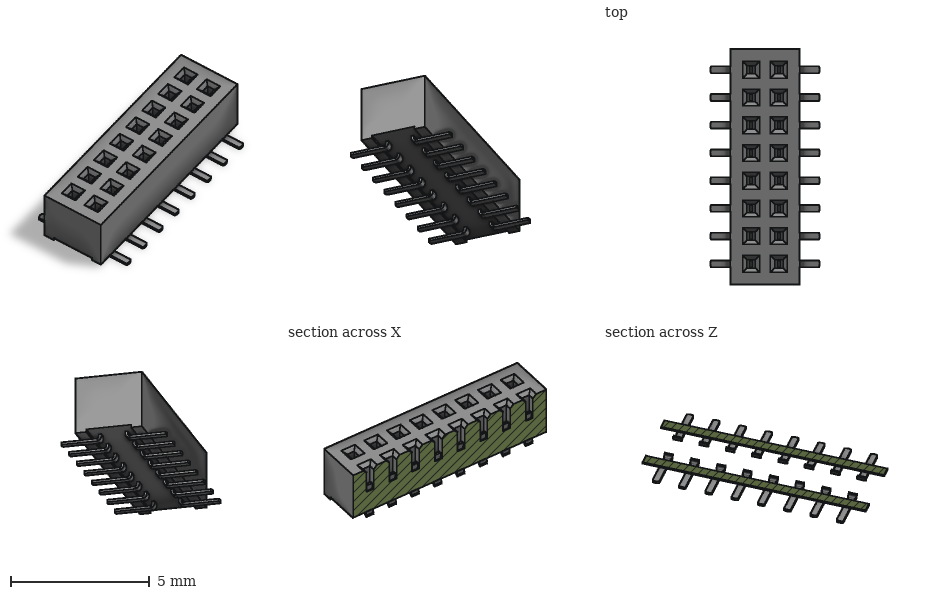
import cadquery as cq
import math

body_length = 8.5
contacts_per_row = 8
pitch = body_length / (contacts_per_row + 0.5)
row_offset = pitch / 2
contact_ys = [(i - (contacts_per_row - 1) / 2) * pitch for i in range(contacts_per_row)]

overall_height = 2.25
body_width = 2.5
body_height = 2.11
body_bottom = overall_height - body_height
channel_width = 1.68
channel_height = 0.1

funnel_mouth = 0.6
shaft_size = 0.31
funnel_depth = (funnel_mouth - shaft_size) / 2
socket_depth = 1.05
socket_floor = overall_height - socket_depth

overall_width = 3.95
strip_thickness = 0.09
tail_width = 0.255
leg_width = 0.31
bend_inner_radius = 0.06
bend_outer_radius = bend_inner_radius + strip_thickness
blade_width = 0.24
blade_rise = 0.255
leg_inner = row_offset - strip_thickness / 2
leg_outer = row_offset + strip_thickness / 2
bend_end = leg_outer + bend_inner_radius
tail_tip = overall_width / 2
tip_bulge = 0.03


def make_housing():
    """Plain block with a shallow channel along its underside."""
    underside = cq.Workplane("XY", origin=(0, 0, body_bottom))
    block = underside.rect(body_width, body_length).extrude(body_height)
    channel = underside.rect(channel_width, body_length).extrude(channel_height)
    return block.cut(channel)


def make_socket(x, y):
    """Material removed for one socket."""
    funnel = (
        cq.Workplane("XY", origin=(x, y, overall_height))
        .rect(funnel_mouth, funnel_mouth)
        .workplane(offset=-funnel_depth).rect(shaft_size, shaft_size)
        .loft(ruled=True)
    )
    shaft = (
        cq.Workplane("XY", origin=(x, y, socket_floor))
        .rect(shaft_size, shaft_size).extrude(socket_depth - funnel_depth)
    )
    return funnel.union(shaft)


def make_leg(y):
    """Vertical leg of one +X contact, with the bend at its foot ending at bend_end."""
    diagonal = math.sqrt(0.5)
    outer_mid = (bend_end - bend_outer_radius * diagonal, bend_outer_radius * (1 - diagonal))
    inner_mid = (bend_end - bend_inner_radius * diagonal, bend_outer_radius - bend_inner_radius * diagonal)
    return (
        cq.Workplane("XZ", origin=(0, y, 0))
        .moveTo(leg_inner, socket_floor)
        .lineTo(leg_inner, bend_outer_radius)
        .threePointArc(outer_mid, (bend_end, 0))
        .lineTo(bend_end, strip_thickness)
        .threePointArc(inner_mid, (leg_outer, bend_outer_radius))
        .lineTo(leg_outer, socket_floor)
        .close()
        .extrude(leg_width / 2, both=True)
    )


def make_blade(y):
    """Narrow blade of one +X contact, standing on the leg inside the socket."""
    return (
        cq.Workplane("XY", origin=(row_offset, y, socket_floor))
        .rect(strip_thickness, blade_width)
        .extrude(blade_rise)
    )


def make_tail(y):
    """Flat solder tail of one +X contact, with a rounded tip."""
    half_width = tail_width / 2
    return (
        cq.Workplane("XY", origin=(0, y, 0))
        .moveTo(bend_end, -half_width)
        .lineTo(tail_tip - tip_bulge, -half_width)
        .threePointArc((tail_tip, 0), (tail_tip - tip_bulge, half_width))
        .lineTo(bend_end, half_width)
        .close()
        .extrude(strip_thickness)
    )


result = make_housing()
for y in contact_ys:
    result = result.cut(make_socket(-row_offset, y)).cut(make_socket(row_offset, y))
for y in contact_ys:
    contact = make_leg(y).union(make_blade(y)).union(make_tail(y))
    result = result.union(contact).union(contact.mirror("YZ"))